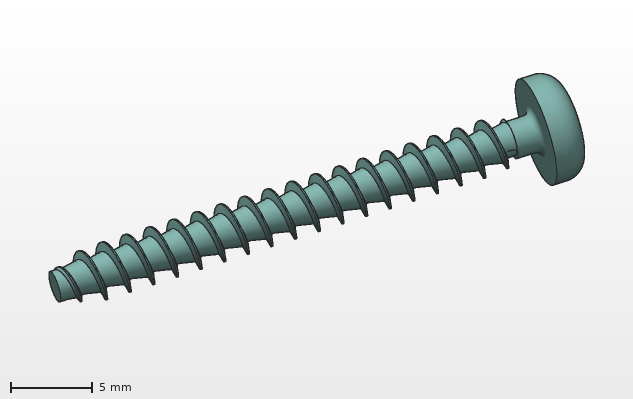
import cadquery as cq
import math


total_length = 34.3
head_diameter = 6.9
head_height = 2.3
head_edge_radius = 1.37
shank_radius = 1.2
neck_fillet = 0.48
shoulder_y = -1.68
tip_y = head_height - total_length

core_radius = 1.0
thread_radius = 1.75
crest_width = 0.1
head_side_foot = 0.25
tip_side_foot = 0.2
land_start_radius = 1.2
land_end = 1.27
sink = 0.1
land_end_sink = 0.017

full_start_y = -2.95
full_length = 26.72
full_turns = 17
pitch = full_length / full_turns
full_pieces = 5
fade_in_turns = 1.2
fade_out_turns = 1.4
fade_minimum = 0.08
points_per_turn = 16


def make_body():
    """Revolved head, filleted neck, shank and core."""
    head_radius = head_diameter / 2
    diagonal = math.sqrt(0.5)
    edge_middle = (
        head_radius - head_edge_radius * (1 - diagonal),
        head_height - head_edge_radius * (1 - diagonal),
    )
    neck_middle = (
        shank_radius + neck_fillet * (1 - diagonal),
        -neck_fillet * (1 - diagonal),
    )
    outline = (
        cq.Workplane("XY")
        .moveTo(0, tip_y)
        .lineTo(core_radius, tip_y)
        .lineTo(core_radius, shoulder_y)
        .lineTo(shank_radius, shoulder_y)
        .lineTo(shank_radius, -neck_fillet)
        .threePointArc(neck_middle, (shank_radius + neck_fillet, 0))
        .lineTo(head_radius, 0)
        .lineTo(head_radius, head_height - head_edge_radius)
        .threePointArc(edge_middle, (head_radius - head_edge_radius, head_height))
        .lineTo(0, head_height)
        .close()
    )
    return outline.revolve(360, (0, 0, 0), (0, 1, 0))


def thread_fade(turn):
    """Relative thread height; turn 0 is the first point of full height."""
    if turn < 0:
        return 1 + (1 - fade_minimum) * turn / fade_in_turns
    if turn > full_turns:
        return 1 - (1 - fade_minimum) * (turn - full_turns) / fade_out_turns
    return 1.0


def thread_edge(offset, radius, start_turn, end_turn):
    """Helical edge at an axial offset (towards the tip) and radius of the thread profile.

    Only the crest fades at the head end; the land fades along with it at the tip.
    """
    fade_floor = land_start_radius if start_turn < 0 else core_radius - sink
    steps = round((end_turn - start_turn) * points_per_turn)
    points = []
    for step in range(steps + 1):
        turn = start_turn + (end_turn - start_turn) * step / steps
        angle = math.pi / 2 + 2 * math.pi * turn
        local_radius = radius
        if radius > fade_floor:
            local_radius = fade_floor + (radius - fade_floor) * thread_fade(turn)
        points.append(cq.Vector(
            local_radius * math.cos(angle),
            full_start_y - pitch * turn - offset,
            local_radius * math.sin(angle),
        ))
    return cq.Edge.makeSpline(points)


def make_thread_piece(start_turn, end_turn):
    """Solid stretch of thread with its sloped land, as ruled faces between helical edges."""
    base_radius = core_radius - sink
    profile = [
        (-head_side_foot, base_radius),
        (-crest_width / 2, thread_radius),
        (crest_width / 2, thread_radius),
        (tip_side_foot, land_start_radius),
        (land_end, core_radius - land_end_sink),
        (land_end, base_radius),
    ]
    edges = [thread_edge(offset, radius, start_turn, end_turn) for offset, radius in profile]
    next_edges = edges[1:] + edges[:1]
    faces = [cq.Face.makeRuledSurface(edge, following) for edge, following in zip(edges, next_edges)]
    for end in (0, 1):
        corners = [edge.positionAt(end) for edge in edges]
        faces.append(cq.Face.makeFromWires(cq.Wire.makePolygon(corners, close=True)))
    return cq.Solid.makeSolid(cq.Shell.makeShell(faces))


def trim(piece):
    """Keep only the stretch of thread between the shoulder and the tip."""
    sleeve = (
        cq.Workplane("XZ", origin=(0, shoulder_y, 0))
        .circle(2 * thread_radius)
        .extrude(shoulder_y - tip_y)
    )
    return sleeve.intersect(cq.Workplane(piece))


fade_in = trim(make_thread_piece(-fade_in_turns, 0))
fade_out = trim(make_thread_piece(full_turns, full_turns + fade_out_turns))

screw = make_body().union(fade_in)
for piece in range(full_pieces):
    start_turn = piece * full_turns / full_pieces
    end_turn = (piece + 1) * full_turns / full_pieces
    screw = screw.union(cq.Workplane(make_thread_piece(start_turn, end_turn)))

result = cq.Workplane(screw.union(fade_out).solids().val())